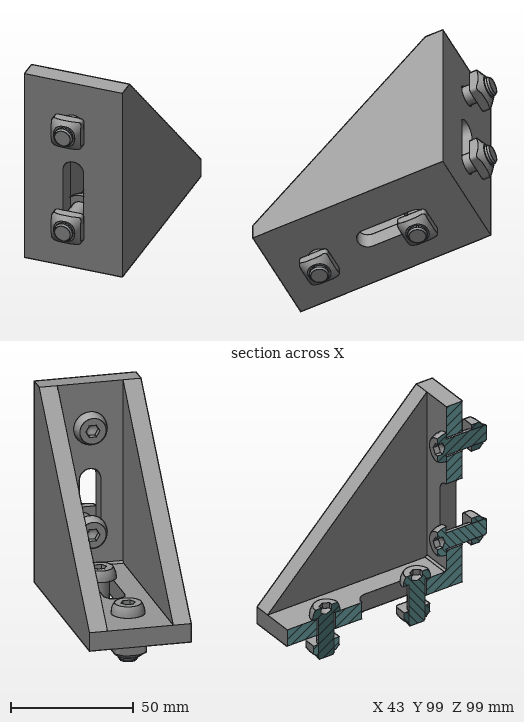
import cadquery as cq
import math

overall_length = 99
bracket_width = 43.0
bracket_leg = 87.0
leg_thickness = 8.0
inner_chamfer = 0.9
pocket_width = 27.7
hole_diameter = 9.0
near_bolt = 22.6
far_bolt = 67.5
slot_end = 45.3

shank_diameter = 8.0
shank_tip_diameter = 6.8
shank_tip_chamfer_length = 0.9
shank_overhang = overall_length - bracket_leg
head_diameter = 14.0
head_top_diameter = 11.1
head_height = 4.5
socket_flats = 5.0
socket_depth = 2.5
socket_point_depth = 1.2

nut_side = 12.9
nut_height = 5.6
nut_gap = 4.5
nut_corner_radius = 1.5
nut_bevel = 1.8
nut_ridge_radius = 6.4


def turn_to_upright_leg(shape):
    """Turn a shape on the bottom leg (outward is -Z) to the upright leg (outward is -Y)."""
    return shape.rotate((0, 0, 0), (1, 0, 0), -90)


def place_on_leg(shape, distance, upright):
    """Move a shape built around the origin to a bolt position on one of the two legs."""
    if upright:
        return turn_to_upright_leg(shape).translate((0, 0, distance))
    return shape.translate((0, distance, 0))


def make_far_hole():
    """Cutter for the round hole of the far bolt, through a leg."""
    return cq.Workplane("XY").circle(hole_diameter / 2).extrude(leg_thickness)


def make_slot(travel):
    """Cutter for the slot along a leg; travel is the distance between its end centres."""
    return cq.Workplane("XY").slot2D(travel + hole_diameter, hole_diameter, 90).extrude(leg_thickness)


def make_bracket():
    body = (
        cq.Workplane("YZ")
        .polyline([
            (0, 0),
            (bracket_leg, 0),
            (bracket_leg, leg_thickness),
            (leg_thickness, bracket_leg),
            (0, bracket_leg),
        ])
        .close()
        .extrude(bracket_width / 2, both=True)
    )
    pocket = (
        cq.Workplane("XY")
        .box(pocket_width, bracket_leg, bracket_leg, centered=(True, False, False))
        .edges(cq.NearestToPointSelector((0, 0, 0)))
        .chamfer(inner_chamfer)
        .translate((0, leg_thickness, leg_thickness))
    )
    body = body.cut(pocket)
    far_hole = make_far_hole()
    slot = make_slot(slot_end - near_bolt)
    slot_middle = (near_bolt + slot_end) / 2
    for upright in (False, True):
        body = body.cut(place_on_leg(far_hole, far_bolt, upright))
        body = body.cut(place_on_leg(slot, slot_middle, upright))
    return body


def make_bolt():
    """Bolt on the Z axis, its shank pointing to -Z and its head seated on the leg."""
    head_radius = head_diameter / 2
    head_top_radius = head_top_diameter / 2
    shank_radius = shank_diameter / 2
    head_top = leg_thickness + head_height
    radius_drop = head_radius - head_top_radius
    dome_radius = (head_height**2 + radius_drop**2) / (2 * radius_drop)
    half_sweep = math.asin(head_height / dome_radius) / 2
    dome_middle = (
        head_radius - dome_radius * (1 - math.cos(half_sweep)),
        leg_thickness + dome_radius * math.sin(half_sweep),
    )
    bolt = (
        cq.Workplane("XZ")
        .moveTo(0, -shank_overhang)
        .lineTo(shank_tip_diameter / 2, -shank_overhang)
        .lineTo(shank_radius, -shank_overhang + shank_tip_chamfer_length)
        .lineTo(shank_radius, leg_thickness)
        .lineTo(head_radius, leg_thickness)
        .threePointArc(dome_middle, (head_top_radius, head_top))
        .lineTo(0, head_top)
        .close()
        .revolve(360, (0, 0, 0), (0, 1, 0))
    )
    return bolt.cut(make_socket().translate((0, 0, head_top)))


def make_socket():
    """Hexagonal socket with a conical bottom, open at Z = 0, two corners along X."""
    across_corners = socket_flats / math.cos(math.pi / 6)
    total_depth = socket_depth + socket_point_depth
    hexagon = cq.Workplane("XY").polygon(6, across_corners).extrude(-total_depth)
    pointed_core = (
        cq.Workplane("XZ")
        .polyline([
            (0, 0),
            (across_corners / 2, 0),
            (across_corners / 2, -socket_depth),
            (0, -total_depth),
        ])
        .close()
        .revolve(360, (0, 0, 0), (0, 1, 0))
    )
    return hexagon.intersect(pointed_core)


def make_nut():
    """Nut on the Z axis below the leg, its bevelled face pointing to -Z."""
    block = (
        cq.Workplane("XY")
        .rect(nut_side, nut_side)
        .extrude(-nut_height)
        .edges("|Z")
        .fillet(nut_corner_radius)
    )
    face_side = nut_side - 2 * nut_bevel
    frustum_base = face_side + 2 * nut_height
    frustum = (
        cq.Workplane("XY")
        .rect(frustum_base, frustum_base)
        .extrude(-nut_height, taper=45)
        .edges("not #Z")
        .fillet(nut_ridge_radius)
    )
    bore = cq.Workplane("XY").circle(shank_diameter / 2).extrude(-nut_height)
    return block.intersect(frustum).cut(bore).translate((0, 0, -nut_gap))


bracket = make_bracket()
bolt = make_bolt()
nut = make_nut()

bolts = []
nuts = []
for upright in (False, True):
    for distance in (near_bolt, far_bolt):
        bolts.append(place_on_leg(bolt, distance, upright).val())
        nuts.append(place_on_leg(nut, distance, upright).val())

result = cq.Compound.makeCompound([bracket.val(), *bolts, *nuts])